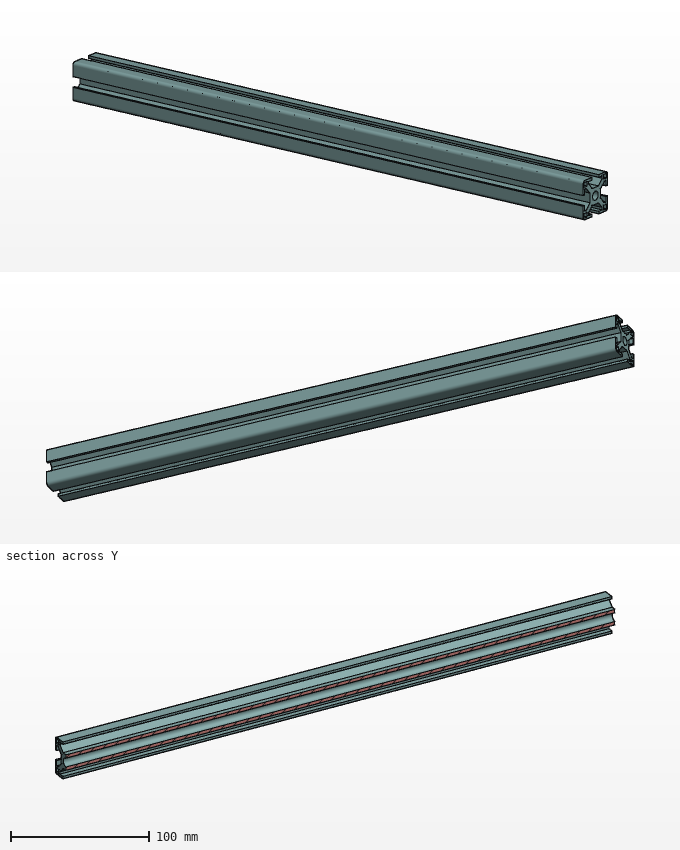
import cadquery as cq

length = 460.0
side = 30.0
corner_radius = 2.5

slot_opening = 8.15
lip_thickness = 2.0
slot_inner_width = 16.6
core_width = 13.0
web_thickness = 4.0

centre_bore_diameter = 6.8
corner_bore_size = 3.5
corner_bore_offset = 11.8

half_side = side / 2
web_reach = web_thickness / 2 * 2**0.5


def bar():
    """Solid square bar with rounded long edges."""
    block = cq.Workplane("YZ").rect(side, side).extrude(length / 2, both=True)
    return block.edges("|X").fillet(corner_radius)


def slot_cutter():
    """T-slot in the +Z side: narrow mouth, wide chamber, tapering to the core along the diagonal webs."""
    mouth = slot_opening / 2
    chamber = slot_inner_width / 2
    floor = core_width / 2
    lip = half_side - lip_thickness
    right_half = [
        (mouth, half_side),
        (mouth, lip),
        (chamber, lip),
        (chamber, chamber + web_reach),
        (floor - web_reach, floor),
    ]
    left_half = [(-y, z) for y, z in reversed(right_half)]
    return cq.Workplane("YZ").polyline(right_half + left_half).close().extrude(length / 2, both=True)


def centre_bore():
    """Round bore along the axis of the bar."""
    return cq.Workplane("YZ").circle(centre_bore_diameter / 2).extrude(length / 2, both=True)


def corner_bores():
    """Square hollow in each of the four corners."""
    spacing = 2 * corner_bore_offset
    return (
        cq.Workplane("YZ")
        .rect(spacing, spacing, forConstruction=True)
        .vertices()
        .rect(corner_bore_size, corner_bore_size)
        .extrude(length / 2, both=True)
    )


result = bar().cut(centre_bore()).cut(corner_bores())
for quarter_turn in range(4):
    result = result.cut(slot_cutter().rotate((0, 0, 0), (1, 0, 0), 90 * quarter_turn))